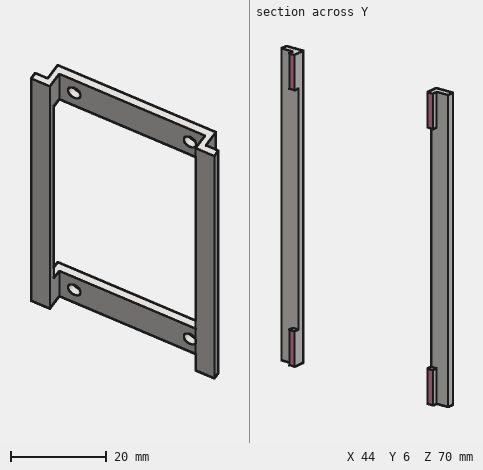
import cadquery as cq

width = 44.0
depth = 6.0
height = 70.0

rail_width = 4.5
rail_thickness = 1.75

bridge_height = 8.0
bridge_thickness = 2.0
leg_thickness = 1.5

hole_diameter = 3.0
hole_spacing_x = 27.8

inner_width = width - 2 * rail_width
bridge_width = inner_width + 2 * leg_thickness
bridge_centre_z = (height - bridge_height) / 2
rail_centre_x = (width - rail_width) / 2
front_y = -depth / 2
back_y = depth / 2


def make_rail(side):
    """Full-height flat rail along the front; side is -1 or +1 in X."""
    return (
        cq.Workplane("XY")
        .box(rail_width, rail_thickness, height)
        .translate((side * rail_centre_x, front_y + rail_thickness / 2, 0))
    )


def make_bridge(end):
    """U-shaped bridge joining the rails, with two holes; end is -1 or +1 in Z."""
    block = cq.Workplane("XY").box(bridge_width, depth, bridge_height)
    channel = (
        cq.Workplane("XY")
        .box(inner_width, depth, bridge_height)
        .translate((0, -bridge_thickness, 0))
    )
    holes = (
        cq.Workplane("XZ", origin=(0, back_y, 0))
        .pushPoints([(-hole_spacing_x / 2, 0), (hole_spacing_x / 2, 0)])
        .circle(hole_diameter / 2)
        .extrude(bridge_thickness)
    )
    return block.cut(channel).cut(holes).translate((0, 0, end * bridge_centre_z))


result = make_rail(-1).union(make_rail(1))
for end in (-1, 1):
    result = result.union(make_bridge(end))